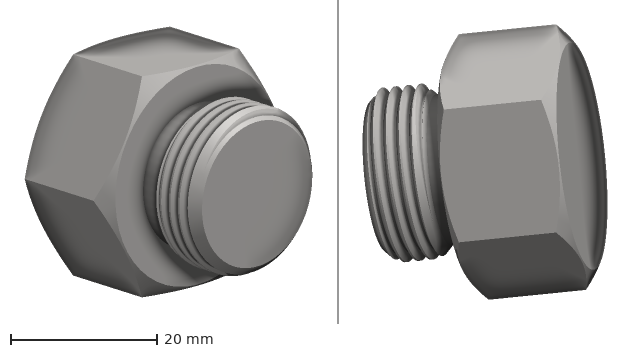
import cadquery as cq
import math

across_corners = 36.65
head_length = 16.75
face_circle_diameter = 31.3
corner_bevel_angle = 30.0

overall_length = 28.45
neck_radius = 10.4
neck_length = 2.68
crest_radius = 12.05

root_radius = 10.9
root_flat = 0.3
flank_angle = 27.5
groove_start = head_length + 2.9
groove_length = 9.05
groove_turns = 5
pitch = groove_length / groove_turns
groove_overcut = 0.1


def revolve_about_x(points):
    """Solid of revolution about X from (x, radius) points."""
    return cq.Workplane("XY").polyline(points).close().revolve(360, (0, 0, 0), (1, 0, 0))


def make_head():
    """Hexagonal prism with the corners bevelled at both ends."""
    corner_radius = across_corners / 2
    face_radius = face_circle_diameter / 2
    bevel_length = (corner_radius - face_radius) * math.tan(math.radians(corner_bevel_angle))
    prism = cq.Workplane("YZ").polygon(6, across_corners).extrude(head_length)
    envelope = revolve_about_x([
        (0, 0),
        (0, face_radius),
        (bevel_length, corner_radius),
        (head_length - bevel_length, corner_radius),
        (head_length, face_radius),
        (head_length, 0),
    ])
    return prism.intersect(envelope)


def make_spigot_envelope():
    """Neck and 45 degree end bevels; the two bevel cones meet outside the thread crests."""
    thread_start = head_length + neck_length
    cone_height = (overall_length - thread_start) / 2
    return revolve_about_x([
        (head_length, 0),
        (head_length, neck_radius),
        (thread_start, neck_radius),
        (thread_start + cone_height, neck_radius + cone_height),
        (overall_length, neck_radius),
        (overall_length, 0),
    ])


def make_thread_groove():
    """Helical cutter, swept about Z and then turned so that its axis is X."""
    outer_radius = crest_radius + groove_overcut
    half_root = root_flat / 2
    half_mouth = half_root + (outer_radius - root_radius) * math.tan(math.radians(flank_angle))
    helix = cq.Wire.makeHelix(pitch, groove_length, root_radius)
    groove = (
        cq.Workplane("XZ")
        .polyline([
            (root_radius, -half_root),
            (outer_radius, -half_mouth),
            (outer_radius, half_mouth),
            (root_radius, half_root),
        ])
        .close()
        .sweep(cq.Workplane(obj=helix), isFrenet=True)
    )
    return groove.rotate((0, 0, 0), (0, 1, 0), 90).translate((groove_start, 0, 0))


def make_threaded_spigot():
    """Threaded bar, reaching past both ends of the helix, trimmed to the spigot envelope."""
    bar_length = groove_start - head_length + groove_length + pitch
    bar = (
        cq.Workplane("YZ", origin=(head_length, 0, 0))
        .circle(crest_radius)
        .extrude(bar_length)
    )
    return bar.cut(make_thread_groove()).intersect(make_spigot_envelope())


result = make_head().union(make_threaded_spigot())